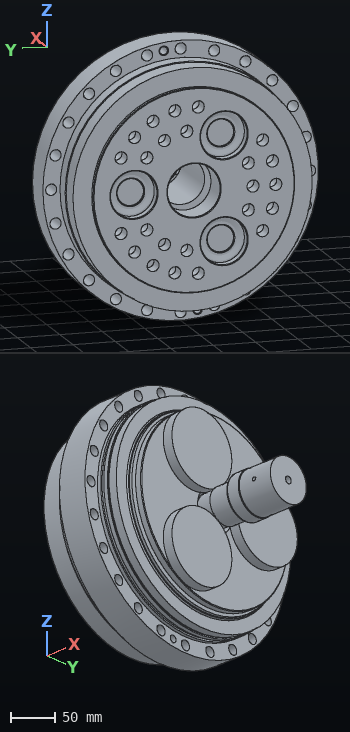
import cadquery as cq
import math

SMALL_CHAMFER = 1.0

FLANGE_RADIUS = 162.5
CARRIER_RADIUS = 119.0
CASE_RADIUS = 141.0
PILOT_RADIUS = 142.5
SEAL_GROOVE_RADIUS = 140.0
RELIEF_GROOVE_RADIUS = 140.7
COVER_START_RADIUS = 124.5
COVER_END_RADIUS = 123.2
BEARING_RING_RADIUS = 122.0
CARRIER_NECK_RADIUS = 110.2
CARRIER_FRONT = 5.5
FLANGE_FRONT = 50.7
FLANGE_BACK = 91.0
CARRIER_BACK = 136.8
LANDS = [
    (CARRIER_RADIUS, CARRIER_FRONT),
    (CASE_RADIUS, 31.2),
    (PILOT_RADIUS, FLANGE_FRONT),
    (FLANGE_RADIUS, FLANGE_BACK),
    (PILOT_RADIUS, 96.0),
    (SEAL_GROOVE_RADIUS, 100.8),
    (PILOT_RADIUS, 106.5),
    (RELIEF_GROOVE_RADIUS, 107.5),
    (CASE_RADIUS, 119.3),
]
COVER_END = 121.2
BEARING_RING_END = 125.0
CARRIER_NECK_END = 128.0

BORE_DIAMETER = 62.0
BORE_DEPTH = 35.8
RELIEF_DIAMETER = 110.5
RELIEF_DEPTH = 48.8
SHOULDER_DIAMETER = 55.2

FLANGE_HOLE_CIRCLE_RADIUS = 152.8
FLANGE_HOLE_DIAMETER = 13.0
FLANGE_HOLE_COUNT = 24
JACK_HOLE_DIAMETER = 9.0
JACK_HOLE_ANGLE = 7.5

CRANK_CIRCLE_RADIUS = 71.0
CRANK_ANGLES = [0, 120, 240]
POCKET_DIAMETER = 55.0
POCKET_DEPTH = 11.5
SEAT_OUTER_DIAMETER = 51.5
SEAT_INNER_DIAMETER = 39.5
SEAT_DEPTH = 1.3
CRANK_RECESS_DIAMETER = 31.2
CRANK_RECESS_DEPTH = 1.5
GEAR_FRONT = 137.5
GEAR_BACK = 151.0
GEAR_RADIUS = 48.5

TAPPED_DIAMETER = 14.0
TAPPED_DEPTH = 19.5
DRILL_POINT_ANGLE = 118.0
OUTER_ROW_RADIUS = 96.5
OUTER_ROW_STEP = 16.5
OUTER_ROW_COUNT = 5
INNER_ROW_RADIUS = 69.5
INNER_ROW_STEP = 23.0
INNER_ROW_COUNT = 3
GROUP_ANGLES = [60, 180, 300]
FLAT_BOTTOM_GROUP = 300

PINION_RADIUS = CRANK_CIRCLE_RADIUS - GEAR_RADIUS
PINION_FRONT = 130.0
STEM_FRONT = 152.8
STEM_RADIUS = 24.0
COLLAR_FRONT = 184.0
COLLAR_BACK = 203.8
COLLAR_RADIUS = 30.0
COLLAR_LEAD_IN = 2.0
HUB_RADIUS = 29.2
SHAFT_BACK = 252.5
SHAFT_BORE_DIAMETER = 9.0
CROSS_HOLE_DIAMETER = 5.0
CROSS_HOLE_X = 227.0


def turned(points):
    """Solid of revolution about X from a closed list of (x, radius) points."""
    return cq.Workplane("XY").polyline(points).close().revolve(360, (0, 0, 0), (1, 0, 0))


def cylinder(x_start, x_end, radius):
    return cq.Workplane("YZ").workplane(offset=x_start).circle(radius).extrude(x_end - x_start)


def placed(body, circle_radius, angle):
    """Move an axial body out to a circle; angles turn from +Y towards +Z."""
    return body.translate((0, circle_radius, 0)).rotate((0, 0, 0), (1, 0, 0), angle)


def turned_outline():
    points = [(0, 0), (0, CARRIER_RADIUS - SMALL_CHAMFER)]
    x_start = SMALL_CHAMFER
    for radius, x_end in LANDS:
        points += [(x_start, radius), (x_end, radius)]
        x_start = x_end
    points += [
        (x_start, COVER_START_RADIUS),
        (COVER_END, COVER_END_RADIUS),
        (COVER_END, BEARING_RING_RADIUS),
        (BEARING_RING_END, BEARING_RING_RADIUS),
        (BEARING_RING_END, CARRIER_NECK_RADIUS),
        (CARRIER_NECK_END, CARRIER_NECK_RADIUS),
        (CARRIER_NECK_END, CARRIER_RADIUS),
        (CARRIER_BACK - SMALL_CHAMFER, CARRIER_RADIUS),
        (CARRIER_BACK, CARRIER_RADIUS - SMALL_CHAMFER),
        (CARRIER_BACK, 0),
    ]
    return turned(points)


def central_bore():
    bore = BORE_DIAMETER / 2
    relief = RELIEF_DIAMETER / 2
    shoulder = SHOULDER_DIAMETER / 2
    return turned([
        (0, 0),
        (0, bore + SMALL_CHAMFER),
        (SMALL_CHAMFER, bore),
        (BORE_DEPTH, bore),
        (BORE_DEPTH, relief),
        (RELIEF_DEPTH, relief),
        (RELIEF_DEPTH, shoulder),
        (CARRIER_BACK, shoulder),
        (CARRIER_BACK, 0),
    ])


def crank_pocket():
    """Chamfered pocket with a conical seat around the recessed crankshaft end."""
    pocket = POCKET_DIAMETER / 2
    seat_bottom = POCKET_DEPTH + SEAT_DEPTH
    end_face = seat_bottom + CRANK_RECESS_DEPTH
    recess = CRANK_RECESS_DIAMETER / 2
    return turned([
        (0, 0),
        (0, pocket + SMALL_CHAMFER),
        (SMALL_CHAMFER, pocket),
        (POCKET_DEPTH, pocket),
        (POCKET_DEPTH, SEAT_OUTER_DIAMETER / 2),
        (seat_bottom, SEAT_INNER_DIAMETER / 2),
        (seat_bottom, recess + SMALL_CHAMFER),
        (seat_bottom + SMALL_CHAMFER, recess),
        (end_face, recess),
        (end_face, 0),
    ])


def crank_gear():
    gear = cylinder(GEAR_FRONT, GEAR_BACK, GEAR_RADIUS)
    return gear.union(cylinder(CARRIER_BACK, GEAR_FRONT, SEAT_INNER_DIAMETER / 2))


def tapped_hole(flat_bottom):
    radius = TAPPED_DIAMETER / 2
    hole = cylinder(0, TAPPED_DEPTH, radius)
    if flat_bottom:
        return hole
    point = radius / math.tan(math.radians(DRILL_POINT_ANGLE / 2))
    tip = turned([(TAPPED_DEPTH, 0), (TAPPED_DEPTH, radius), (TAPPED_DEPTH + point, 0)])
    return hole.union(tip)


def cut_tapped_holes(body):
    rows = [
        (OUTER_ROW_RADIUS, OUTER_ROW_STEP, OUTER_ROW_COUNT),
        (INNER_ROW_RADIUS, INNER_ROW_STEP, INNER_ROW_COUNT),
    ]
    for group in GROUP_ANGLES:
        for row_radius, step, count in rows:
            middle = count // 2
            for i in range(count):
                flat = group == FLAT_BOTTOM_GROUP and i == middle
                body = body.cut(placed(tapped_hole(flat), row_radius, group + (i - middle) * step))
    return body


def cut_flange_holes(body):
    hole = cylinder(FLANGE_FRONT, FLANGE_BACK, FLANGE_HOLE_DIAMETER / 2)
    for i in range(FLANGE_HOLE_COUNT):
        body = body.cut(placed(hole, FLANGE_HOLE_CIRCLE_RADIUS, i * 360 / FLANGE_HOLE_COUNT))
    radius = JACK_HOLE_DIAMETER / 2
    jack_hole = turned([
        (FLANGE_FRONT, 0),
        (FLANGE_FRONT, radius + SMALL_CHAMFER),
        (FLANGE_FRONT + SMALL_CHAMFER, radius),
        (FLANGE_BACK, radius),
        (FLANGE_BACK, 0),
    ])
    for side in (90, 270):
        body = body.cut(placed(jack_hole, FLANGE_HOLE_CIRCLE_RADIUS, side - JACK_HOLE_ANGLE))
    return body


def reducer():
    body = turned_outline().cut(central_bore())
    for angle in CRANK_ANGLES:
        body = body.cut(placed(crank_pocket(), CRANK_CIRCLE_RADIUS, angle))
        body = body.union(placed(crank_gear(), CRANK_CIRCLE_RADIUS, angle))
    body = cut_tapped_holes(body)
    return cut_flange_holes(body)


def input_shaft():
    bore = SHAFT_BORE_DIAMETER / 2
    shaft = turned([
        (PINION_FRONT, bore),
        (PINION_FRONT, PINION_RADIUS - SMALL_CHAMFER),
        (PINION_FRONT + SMALL_CHAMFER, PINION_RADIUS),
        (STEM_FRONT, PINION_RADIUS),
        (STEM_FRONT, STEM_RADIUS),
        (COLLAR_FRONT, STEM_RADIUS),
        (COLLAR_FRONT, COLLAR_RADIUS - SMALL_CHAMFER),
        (COLLAR_FRONT + COLLAR_LEAD_IN, COLLAR_RADIUS),
        (COLLAR_BACK - SMALL_CHAMFER, COLLAR_RADIUS),
        (COLLAR_BACK, HUB_RADIUS),
        (SHAFT_BACK, HUB_RADIUS),
        (SHAFT_BACK, bore),
    ])
    cross_hole = (
        cq.Workplane("XZ")
        .center(CROSS_HOLE_X, 0)
        .circle(CROSS_HOLE_DIAMETER / 2)
        .extrude(HUB_RADIUS)
    )
    return shaft.cut(cross_hole)


result = cq.Compound.makeCompound([reducer().val(), input_shaft().val()])